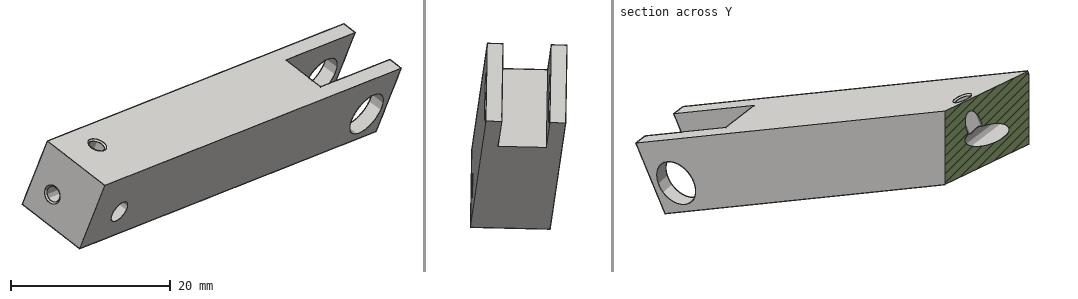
import cadquery as cq

length = 60.0
side = 10.0
elevation = 27.0
heading = -60.0

slot_width = 6.0
slot_depth = 14.05
pin_diameter = 6.0
pin_from_end = 4.0
pin_drop = 1.0

cross_diameter = 3.0
cross_from_end = 6.0
cross_drop = 1.0

screw_diameter = 2.05
mouth_diameter = 2.5
mouth_depth = (mouth_diameter - screw_diameter) / 2
screw_offset = 1.5


def side_hole(x, z, diameter):
    """Cylinder through the full width of the bar."""
    return cq.Workplane("XZ", origin=(x, 0, z)).circle(diameter / 2).extrude(side, both=True)


def screw_hole(mouth, depth):
    """Blind hole of the given depth behind the mouth plane, with a conical mouth."""
    bore = mouth.circle(screw_diameter / 2).extrude(-depth)
    cone = (
        mouth.circle(mouth_diameter / 2)
        .workplane(offset=-mouth_depth)
        .circle(screw_diameter / 2)
        .loft()
    )
    return bore.union(cone)


bar = cq.Workplane("YZ").rect(side, side).extrude(length)

slot = cq.Workplane("XY").box(2 * slot_depth, slot_width, 2 * side)
bar = bar.cut(slot)

bar = bar.cut(side_hole(pin_from_end, -pin_drop, pin_diameter))
bar = bar.cut(side_hole(length - cross_from_end, -cross_drop, cross_diameter))

top_mouth = cq.Workplane("XY", origin=(length - cross_from_end, -screw_offset, side / 2))
bar = bar.cut(screw_hole(top_mouth, side / 2 + cross_drop))

end_mouth = cq.Workplane("YZ", origin=(length, -screw_offset, -cross_drop))
bar = bar.cut(screw_hole(end_mouth, cross_from_end))

result = bar.rotate((0, 0, 0), (0, 1, 0), -elevation).rotate((0, 0, 0), (0, 0, 1), heading)